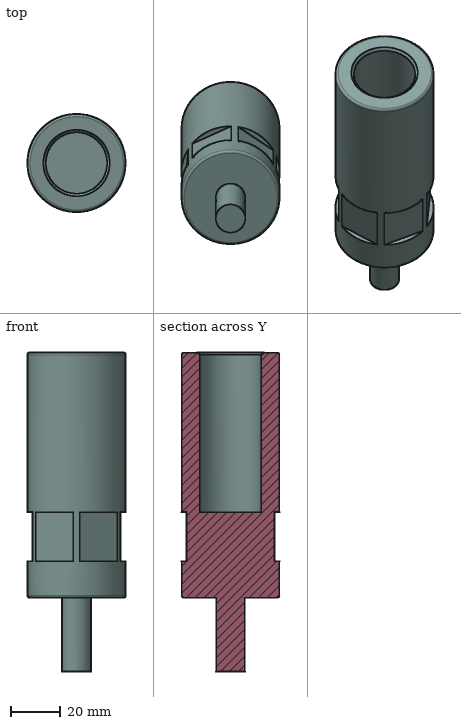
import cadquery as cq

total_height = 130.0
pin_length = 30.0
hex_bottom = 45.0
hex_top = 65.0

body_diameter = 40.0
pin_diameter = 12.0
bore_diameter = 25.0
hex_across_flats = 36.0

bore_depth = total_height - hex_top

body_fillet = 1.0
bore_chamfer = 1.0

flat_count = 6


def make_body():
    """Round body with both outer rims rounded."""
    return (
        cq.Workplane("XY", origin=(0, 0, pin_length))
        .circle(body_diameter / 2)
        .extrude(total_height - pin_length)
        .edges("%CIRCLE")
        .fillet(body_fillet)
    )


def make_pin():
    """Plain pin below the body."""
    return cq.Workplane("XY").circle(pin_diameter / 2).extrude(pin_length)


def make_bore():
    """Blind bore with a countersunk mouth, as a cutting tool."""
    bore = (
        cq.Workplane("XY", origin=(0, 0, total_height - bore_depth))
        .circle(bore_diameter / 2)
        .extrude(bore_depth)
    )
    mouth = (
        cq.Workplane("XY", origin=(0, 0, total_height))
        .circle(bore_diameter / 2 + bore_chamfer)
        .extrude(-bore_chamfer, taper=45)
    )
    return bore.union(mouth)


def make_flat_cutter(angle):
    """Block that cuts one wrench flat, facing the given angle about Z."""
    cutter_depth = body_diameter / 2
    return (
        cq.Workplane("XY", origin=(0, 0, hex_bottom))
        .center(hex_across_flats / 2 + cutter_depth / 2, 0)
        .rect(cutter_depth, body_diameter)
        .extrude(hex_top - hex_bottom)
        .rotate((0, 0, 0), (0, 0, 1), angle)
    )


result = make_body().union(make_pin()).cut(make_bore())
for index in range(flat_count):
    result = result.cut(make_flat_cutter(index * 360 / flat_count))